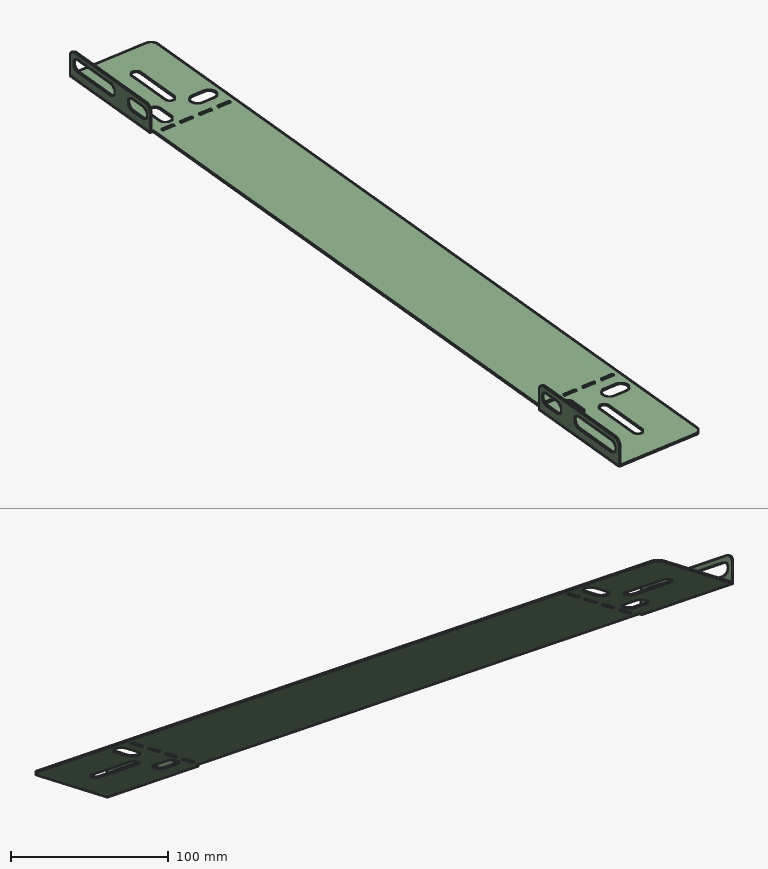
import cadquery as cq

length = 573.0
width = 66.0
height = 20.0
thickness = 1.0
back_corner_radius = 5.0

flange_length = 83.5
flange_corner_radius = 5.0
front_edge_setback = 2.5

floor_adjusting_slot = (42.5, 32.0, 42.0, 7.0)
floor_cross_slot = (71.5, 14.5, 19.5, 10.5)
floor_front_slot = (71.5, 48.5, 20.0, 9.0)
flange_long_slot = (25.0, 11.5, 43.0, 9.0)
flange_short_slot = (70.5, 11.5, 20.0, 9.0)

slit_end_distance = 86.5
slit_count = 4
slit_length = 9.0
slit_width = 1.5
slit_pitch = 15.0
slit_row_centre = 31.5

half_length = length / 2
back_y = width / 2
front_y = -width / 2


def make_floor():
    """Flat plate with rounded back corners and a set-back front edge between the flanges."""
    plate = (
        cq.Workplane("XY")
        .box(length, width, thickness, centered=(True, True, False))
        .edges("|Z and >Y")
        .fillet(back_corner_radius)
    )
    setback = (
        cq.Workplane("XY")
        .center(0, front_y + front_edge_setback / 2)
        .rect(length - 2 * flange_length, front_edge_setback)
        .extrude(thickness)
    )
    return plate.cut(setback)


def make_flange(side):
    """Upright flange at one end; side is -1 for the -X end and 1 for the +X end."""
    return (
        cq.Workplane("XY")
        .box(flange_length, thickness, height, centered=(True, False, False))
        .edges("|Y and >Z")
        .fillet(flange_corner_radius)
        .translate((side * (half_length - flange_length / 2), front_y, 0))
    )


def floor_slot(side, slot, angle=0):
    """Cutter for a round-ended slot through the floor."""
    end_distance, back_distance, slot_length, slot_width = slot
    return (
        cq.Workplane("XY")
        .center(side * (half_length - end_distance), back_y - back_distance)
        .slot2D(slot_length, slot_width, angle)
        .extrude(thickness)
    )


def flange_slot(side, slot):
    """Cutter for a round-ended slot through a flange."""
    end_distance, slot_height, slot_length, slot_width = slot
    return (
        cq.Workplane("XZ", origin=(0, front_y, 0))
        .center(side * (half_length - end_distance), slot_height)
        .slot2D(slot_length, slot_width)
        .extrude(-thickness)
    )


def fold_slits(side):
    """Cutter for the row of rectangular slits along the fold line."""
    return (
        cq.Workplane("XY")
        .center(side * (half_length - slit_end_distance), back_y - slit_row_centre)
        .rarray(6, slit_pitch, 1, slit_count)
        .rect(slit_width, slit_length)
        .extrude(thickness)
    )


result = make_floor()
for side in (-1, 1):
    result = result.union(make_flange(side))
    result = result.cut(floor_slot(side, floor_adjusting_slot))
    result = result.cut(floor_slot(side, floor_cross_slot, angle=90))
    result = result.cut(floor_slot(side, floor_front_slot))
    result = result.cut(flange_slot(side, flange_long_slot))
    result = result.cut(flange_slot(side, flange_short_slot))
    result = result.cut(fold_slits(side))